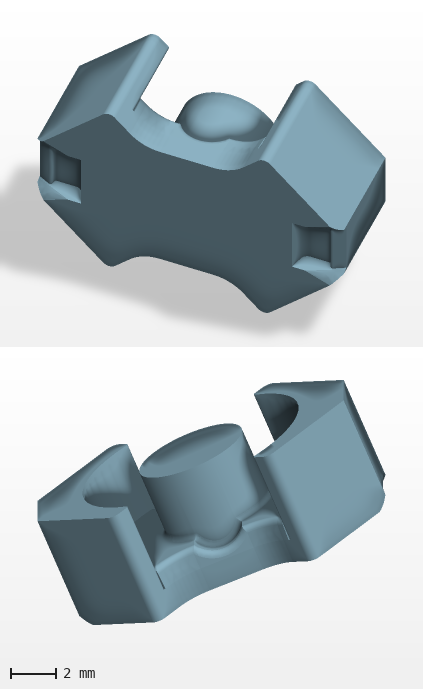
import cadquery as cq
import math

LENGTH = 14.6
THICKNESS = 5.25

END_HALF_HEIGHT = 1.39
WAIST_HALF_HEIGHT = 3.4
FLANK_HEIGHT = 1.3
TIP_RADIUS = 0.4
WAIST_RADIUS = 2.0

BORE_RADIUS = 5.15
POST_RADIUS = 2.45
FLOOR_THICKNESS = 2.12
STRAIGHT_THICKNESS = 1.1
DRAFT_ANGLE = 3.0
FLOOR_EDGE_RADIUS = 0.29
POST_ROOT_RADIUS = 0.22
WING_EDGE_RADIUS = 0.15

TROUGH_RADIUS = 1.35
TROUGH_DEPTH = 0.63

NOTCH_INNER_X = 5.02
NOTCH_WALL_FOOT_X = 5.3
NOTCH_DEPTH = 0.76
NOTCH_CORNER_RADIUS = 0.4
NOTCH_FLOOR_HALF_HEIGHT = 1.25
RIDGE_FOOT_X = 6.57
RIDGE_CREST_X = 6.66
RIDGE_CREST_DEPTH = 0.47
RIDGE_RADIUS = 0.1
MOUTH_DEPTH = 0.75

FACET_TIP_X = 5.65
FACET_HEIGHT = 0.8
FACET_DEPTH = 0.69
FACET_EDGE_DEPTH = 0.48

MARGIN = 0.15

HALF_LENGTH = LENGTH / 2
FRONT_Y = -THICKNESS / 2
BACK_Y = THICKNESS / 2
FLOOR_Y = FRONT_Y + FLOOR_THICKNESS
STRAIGHT_Y = FRONT_Y + STRAIGHT_THICKNESS
TIP_X = (HALF_LENGTH + END_HALF_HEIGHT - FLANK_HEIGHT) / 2
TIP_Z = TIP_X + FLANK_HEIGHT
WAIST_X = WAIST_HALF_HEIGHT - FLANK_HEIGHT


def facing_back(y):
    """Workplane across Y at the given y, extruding towards +Y."""
    return cq.Workplane(cq.Plane(origin=(0, y, 0), xDir=(1, 0, 0), normal=(0, 1, 0)))


def both_signs(x, z):
    return [(sx * x, sz * z) for sx in (1, -1) for sz in (1, -1)]


def disc(radius, start_y, end_y):
    return facing_back(start_y).circle(radius).extrude(end_y - start_y)


def outline():
    """Sketch of the full outline with rounded wing tips and waist corners."""
    quarter = [
        (HALF_LENGTH, END_HALF_HEIGHT),
        (TIP_X, TIP_Z),
        (WAIST_X, WAIST_HALF_HEIGHT),
    ]
    top = quarter + [(-x, z) for x, z in reversed(quarter)]
    bottom = [(-x, -z) for x, z in top]
    points = top + bottom
    sketch = cq.Sketch().polygon(points + points[:1])
    for x, z, radius in (
        (TIP_X, TIP_Z, TIP_RADIUS),
        (WAIST_X, WAIST_HALF_HEIGHT, WAIST_RADIUS),
    ):
        for px, pz in both_signs(x, z):
            nearest = cq.selectors.NearestToPointSelector((px, pz, 0))
            sketch = sketch.vertices(nearest).fillet(radius).reset()
    return sketch


def wings():
    """The two end walls around the bore, with softened bore edges."""
    ring = facing_back(STRAIGHT_Y).placeSketch(outline()).extrude(BACK_Y - STRAIGHT_Y)
    ring = ring.cut(disc(BORE_RADIUS, STRAIGHT_Y, BACK_Y))
    corner_x = (math.sqrt(2 * BORE_RADIUS**2 - FLANK_HEIGHT**2) - FLANK_HEIGHT) / 2
    mid_y = (STRAIGHT_Y + BACK_Y) / 2
    for x, z in both_signs(corner_x, corner_x + FLANK_HEIGHT):
        edge = cq.selectors.NearestToPointSelector((x, mid_y, z))
        ring = ring.edges("|Y").edges(edge).fillet(WING_EDGE_RADIUS)
    return ring


def drafted_floor():
    """Rear part of the floor: drafted sides, wire troughs and rounded waist edges."""
    block = facing_back(STRAIGHT_Y).placeSketch(outline())
    block = block.extrude(FLOOR_Y - STRAIGHT_Y, taper=DRAFT_ANGLE)
    trough = (
        cq.Workplane("XY")
        .center(0, FLOOR_Y - TROUGH_DEPTH + TROUGH_RADIUS)
        .circle(TROUGH_RADIUS)
        .extrude(TIP_Z, both=True)
    )
    troughed = block.cut(trough).edges("%ELLIPSE").fillet(FLOOR_EDGE_RADIUS)
    rounded = block.faces(">Y").edges().fillet(FLOOR_EDGE_RADIUS)
    return rounded.intersect(troughed).intersect(disc(BORE_RADIUS, STRAIGHT_Y, FLOOR_Y))


def clip_notch():
    """Void of the notch at the +X end, with a snap ridge across its floor."""
    profile = [
        (HALF_LENGTH, FRONT_Y),
        (NOTCH_INNER_X, FRONT_Y),
        (NOTCH_WALL_FOOT_X, FRONT_Y + NOTCH_DEPTH),
        (RIDGE_FOOT_X, FRONT_Y + NOTCH_DEPTH),
        (RIDGE_CREST_X, FRONT_Y + RIDGE_CREST_DEPTH),
        (HALF_LENGTH, FRONT_Y + MOUTH_DEPTH),
    ]
    notch = cq.Workplane("XY").polyline(profile).close().extrude(END_HALF_HEIGHT, both=True)
    radii = (NOTCH_CORNER_RADIUS, RIDGE_RADIUS, RIDGE_RADIUS)
    for (x, y), radius in zip(profile[2:5], radii):
        edge = cq.selectors.NearestToPointSelector((x, y, 0))
        notch = notch.edges("|Z").edges(edge).fillet(radius)
    sides = [
        (FRONT_Y, END_HALF_HEIGHT),
        (FRONT_Y + NOTCH_DEPTH, NOTCH_FLOOR_HALF_HEIGHT),
        (FRONT_Y + NOTCH_DEPTH, -NOTCH_FLOOR_HALF_HEIGHT),
        (FRONT_Y, -END_HALF_HEIGHT),
    ]
    return notch.intersect(cq.Workplane("YZ").polyline(sides).close().extrude(HALF_LENGTH))


def notch_facet():
    """Conical void that slants the front corner above the +X notch."""
    base_z = NOTCH_FLOOR_HALF_HEIGHT
    section = (
        cq.Workplane("YZ", origin=(HALF_LENGTH, 0, 0))
        .moveTo(FRONT_Y, base_z)
        .lineTo(FRONT_Y + FACET_DEPTH, base_z)
        .threePointArc(
            (FRONT_Y + FACET_EDGE_DEPTH, END_HALF_HEIGHT),
            (FRONT_Y, base_z + FACET_HEIGHT),
        )
        .close()
    )
    tip = cq.Vertex.makeVertex(FACET_TIP_X, FRONT_Y, END_HALF_HEIGHT)
    return cq.Workplane(cq.occ_impl.shapes.loft(section.val(), tip, cap=True, ruled=True))


result = facing_back(FRONT_Y).placeSketch(outline()).extrude(STRAIGHT_THICKNESS)
result = result.union(wings()).union(drafted_floor())
result = result.union(disc(POST_RADIUS, STRAIGHT_Y, BACK_Y))

root = cq.selectors.BoxSelector(
    (-POST_RADIUS - MARGIN, FLOOR_Y - TROUGH_DEPTH - MARGIN, -POST_RADIUS - MARGIN),
    (POST_RADIUS + MARGIN, FLOOR_Y + MARGIN, POST_RADIUS + MARGIN),
)
result = result.edges(root).fillet(POST_ROOT_RADIUS)

notch = clip_notch()
facet = notch_facet()
notch = notch.union(facet).union(facet.mirror("XY"))
result = result.cut(notch).cut(notch.mirror("YZ"))